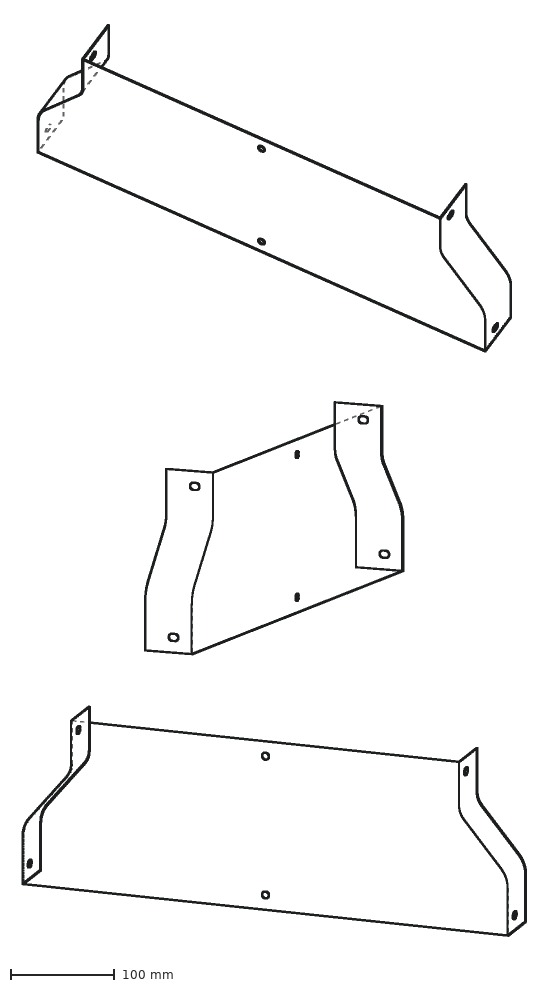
import cadquery as cq
import math

length = 500.0
depth = 50.0
height = 170.0
thickness = 1.0

step_width = 50.0
lower_straight_height = 48.0
lower_bend_radius = 30.0
upper_bend_radius = 20.0
bend_angle = math.radians(40)

hole_diameter = 7.0
hole_edge_distance = 15.0
slot_length = 10.0
slot_front_distance = 20.0

half_length = length / 2
hole_heights = (hole_edge_distance, height - hole_edge_distance)


def bend_offset(radius, angle):
    """Inward and upward travel along a bend after turning by angle."""
    return radius * (1 - math.cos(angle)), radius * math.sin(angle)


def end_path(inset):
    """Right-hand end outline, moved inward by inset, from bottom to top."""
    lower_radius = lower_bend_radius - inset
    upper_radius = upper_bend_radius + inset
    lower_x = half_length - inset
    upper_x = half_length - step_width - inset

    lower_in, lower_rise = bend_offset(lower_bend_radius, bend_angle)
    upper_in, upper_rise = bend_offset(upper_bend_radius, bend_angle)
    slope_run = step_width - lower_in - upper_in
    slope_rise = slope_run / math.tan(bend_angle)
    upper_straight_z = lower_straight_height + lower_rise + slope_rise + upper_rise

    def lower_point(angle):
        inward, rise = bend_offset(lower_radius, angle)
        return lower_x - inward, lower_straight_height + rise

    def upper_point(angle):
        inward, rise = bend_offset(upper_radius, angle)
        return upper_x + inward, upper_straight_z - rise

    return [
        (lower_x, 0),
        lower_point(0),
        lower_point(bend_angle / 2),
        lower_point(bend_angle),
        upper_point(bend_angle),
        upper_point(bend_angle / 2),
        upper_point(0),
        (upper_x, height),
    ]


def draw_end(sketch, path):
    """Draw an end outline onwards from its first point."""
    _, bend_1, mid_1, bend_2, bend_3, mid_2, bend_4, finish = path
    return (
        sketch.lineTo(*bend_1)
        .threePointArc(mid_1, bend_2)
        .lineTo(*bend_3)
        .threePointArc(mid_2, bend_4)
        .lineTo(*finish)
    )


def profile(inset):
    """Closed symmetric outline with both ends moved inward by inset."""
    right = end_path(inset)
    left = [(-x, z) for x, z in reversed(right)]
    sketch = draw_end(cq.Workplane("XZ").moveTo(*right[0]), right)
    return draw_end(sketch.lineTo(*left[0]), left).close()


def flanged_plate():
    """Front plate with a thin flange following each stepped end."""
    block = profile(0).extrude(-depth)
    cavity = profile(thickness).extrude(-depth)
    return block.cut(cavity.translate((0, thickness, 0)))


def plate_holes():
    """Round holes on the centreline of the plate."""
    centres = [(0, z) for z in hole_heights]
    return cq.Workplane("XZ").pushPoints(centres).circle(hole_diameter / 2).extrude(-thickness)


def flange_slots():
    """Slots running along Y through both flanges."""
    centres = [(slot_front_distance, z) for z in hole_heights]
    slots = cq.Workplane("YZ").pushPoints(centres).slot2D(slot_length, hole_diameter)
    return slots.extrude(half_length, both=True)


result = flanged_plate().cut(plate_holes()).cut(flange_slots())